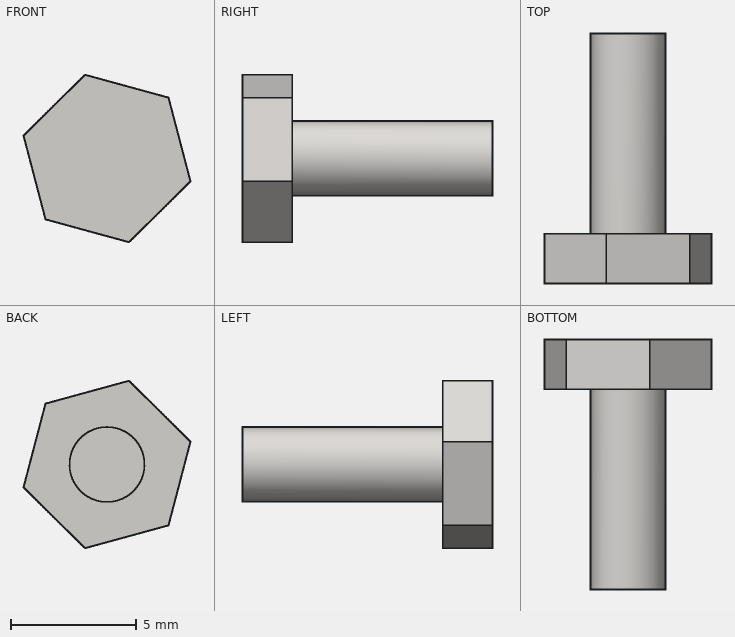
import math

import cadquery as cq

head_sides = 6
head_across_flats = 6.0
head_across_corners = head_across_flats / math.cos(math.pi / head_sides)
head_height = 2.0
head_turn = 14.7
shank_diameter = 3.0
shank_length = 8.0

underside = cq.Plane(origin=(0, 0, 0), xDir=(0, 0, 1), normal=(0, 1, 0))


def make_head():
    """Hexagonal head between Y = -head_height and Y = 0."""
    return (
        cq.Workplane(underside)
        .transformed(rotate=(0, 0, -head_turn))
        .polygon(head_sides, head_across_corners)
        .extrude(-head_height)
    )


def make_shank():
    """Round shank from the underside of the head to Y = shank_length."""
    return cq.Workplane(underside).circle(shank_diameter / 2).extrude(shank_length)


result = make_head().union(make_shank())